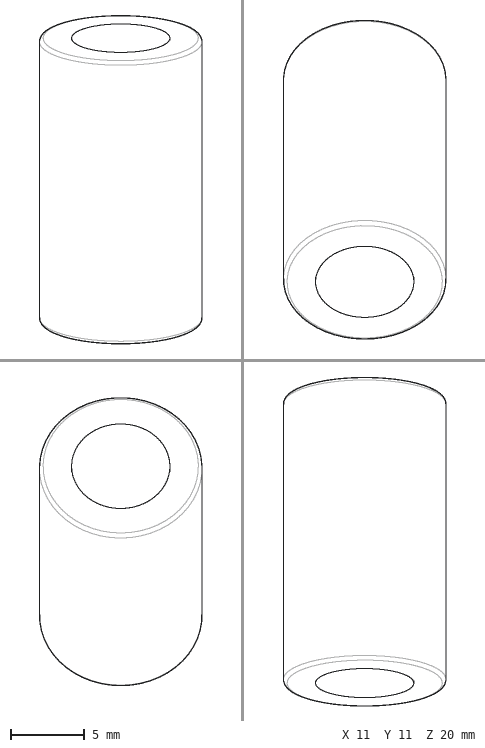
import cadquery as cq

outer_diameter = 11.0
bore_diameter = 6.65
length = 20.0
rim_radius = 0.25


def make_body():
    """Solid cylinder with both end rims rounded."""
    cylinder = cq.Workplane("XY").cylinder(length, outer_diameter / 2)
    return cylinder.edges("%CIRCLE").fillet(rim_radius)


def make_bore():
    """Through bore along the full length of the sleeve."""
    return cq.Workplane("XY").cylinder(length, bore_diameter / 2)


result = make_body().cut(make_bore())